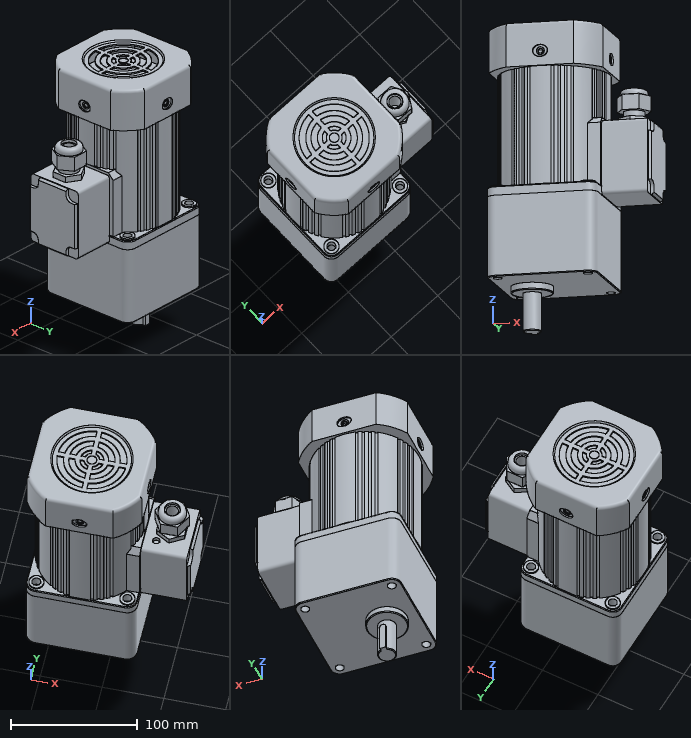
import cadquery as cq
import math


frame_side = 90.0
frame_corner_radius = 8.2
edge_break = 0.7
gearbox_height = 65.5
boss_diameter = 33.7
boss_height = 5.5
shaft_diameter = 15.0
shaft_offset = -18.0
shaft_length = 36.6
shaft_chamfer = 0.7
key_width = 5.0
key_length = 25.0
key_top = 9.5

bolt_pitch_diameter = 104.0
bolt_hole_diameter = 7.0
bolt_pad_diameter = 12.0
bolt_pad_height = 1.2
bolt_spacing = bolt_pitch_diameter / math.sqrt(2)

flange_height = 7.5
barrel_height = 95.5
groove_diameter = 2.2
grooves_per_group = 4
groove_groups = 8
groove_pitch_angle = 6.7
saddle_width = 57.8
saddle_height = 55.7
saddle_chamfer = 5.0

cover_side = 93.0
cover_corner_diameter = 108.0
cover_height = 36.0
cover_edge_radius = 3.1
cover_wall = 3.0
grille_thickness = 1.2
cavity_depth = 23.1
dish_top_radius = 32.5
dish_floor_radius = 31.3
dish_depth = 1.2
grille_rings = [(6.3, 9.5), (13.3, 18.3), (22.5, 27.7)]
spoke_width = 3.9
grille_hub_radius = 3.9
grille_hub_depth = 0.5
screw_recess_width = 12.0
screw_recess_height = 9.6
screw_recess_depth = 1.5
screw_bore_diameter = 6.3
screw_bore_depth = 0.5
screw_socket_diameter = 3.9
screw_socket_depth = 0.5
screw_drop = 23.9

box_reach = 85.0
lid_thickness = 3.0
box_width = 50.0
box_height = 60.2
box_clearance = 0.5
box_edge_radius = 3.0
lid_rim_depth = 2.2
lid_rim_inset = 1.7
notch_size = 10.4
notch_radius = 5.5
plug_diameter = 5.8
plug_depth = 3.5
plug_x = 55.0
plug_y = -13.0

gland_x = 65.0
gland_base_flats = 22.7
gland_base_height = 5.0
gland_neck_diameter = 17.4
gland_neck_height = 5.3
gland_nut_flats = 24.3
gland_nut_height = 12.5
gland_dome_diameter = 22.7
gland_dome_height = 5.5
gland_dome_radius = 3.5
gland_bore_diameter = 9.6
gland_mouth_diameter = 12.5
gland_mouth_depth = 2.5

flange_top = gearbox_height + flange_height
cover_bottom = flange_top + barrel_height
cover_top = cover_bottom + cover_height
box_bottom = gearbox_height + box_clearance
box_top = box_bottom + box_height
box_start = frame_side / 2
box_end = box_reach - lid_thickness


def cylinder(diameter, bottom, height, x=0.0, y=0.0):
    """Upright cylinder standing on the level `bottom`."""
    return cq.Workplane("XY", origin=(x, y, bottom)).circle(diameter / 2).extrude(height)


def hexagon(flats, bottom, height):
    """Upright hexagonal prism on the motor axis, corners along X."""
    corners = flats / math.cos(math.radians(30))
    return cq.Workplane("XY", origin=(0, 0, bottom)).polygon(6, corners).extrude(height)


def frame_block(bottom, height):
    """Square block with rounded corners, as wide as the gearbox."""
    return (
        cq.Workplane("XY", origin=(0, 0, bottom))
        .rect(frame_side, frame_side)
        .extrude(height)
        .edges("|Z")
        .fillet(frame_corner_radius)
    )


def bolt_cylinders(diameter, bottom, height):
    """Four upright cylinders on the mounting bolt pattern."""
    return (
        cq.Workplane("XY", origin=(0, 0, bottom))
        .rect(bolt_spacing, bolt_spacing, forConstruction=True)
        .vertices()
        .circle(diameter / 2)
        .extrude(height)
    )


def make_key():
    """Key on the +Y side of the shaft, rounded at its upper end and running out at the tip."""
    end_radius = key_width / 2
    straight_length = key_length - end_radius
    return (
        cq.Workplane("XZ", origin=(shaft_offset, 0, -shaft_length))
        .moveTo(-end_radius, 0)
        .lineTo(end_radius, 0)
        .lineTo(end_radius, straight_length)
        .threePointArc((0, key_length), (-end_radius, straight_length))
        .close()
        .extrude(-key_top)
    )


def make_gearbox():
    """Gearbox block with its shaft boss, output shaft and key."""
    body = frame_block(0, gearbox_height).faces("<Z").chamfer(edge_break)
    body = body.cut(bolt_cylinders(bolt_hole_diameter, 0, gearbox_height))
    boss = cylinder(boss_diameter, -boss_height, boss_height, shaft_offset)
    boss = boss.faces("<Z").chamfer(edge_break)
    shaft = cylinder(shaft_diameter, -shaft_length, shaft_length, shaft_offset)
    shaft = shaft.faces("<Z").chamfer(shaft_chamfer)
    return body.union(boss).union(shaft).union(make_key())


def make_barrel():
    """Cylindrical barrel with groups of half-round lengthwise grooves between smooth stretches."""
    barrel = cylinder(frame_side, flange_top, barrel_height)
    groove = cylinder(groove_diameter, flange_top, barrel_height, frame_side / 2)
    group_angle = 360 / groove_groups
    for group in range(groove_groups):
        group_centre = (group + 0.5) * group_angle
        for index in range(grooves_per_group):
            step = index - (grooves_per_group - 1) / 2
            angle = group_centre + step * groove_pitch_angle
            barrel = barrel.cut(groove.rotate((0, 0, 0), (0, 0, 1), angle))
    return barrel


def make_saddle():
    """Flat-faced seat for the terminal box, chamfered along its upper edges."""
    return (
        cq.Workplane("XY", origin=(box_start / 2, 0, flange_top))
        .box(box_start, saddle_width, saddle_height, centered=(True, True, False))
        .edges("|X and >Z")
        .chamfer(saddle_chamfer)
    )


def make_motor():
    """Motor flange with bolt pads, grooved barrel and terminal box saddle."""
    flange = frame_block(gearbox_height, flange_height).faces(">Z").chamfer(edge_break)
    flange = flange.union(bolt_cylinders(bolt_pad_diameter, gearbox_height, flange_height + bolt_pad_height))
    motor = flange.union(make_barrel()).union(make_saddle())
    hole_height = flange_height + bolt_pad_height
    return motor.cut(bolt_cylinders(bolt_hole_diameter, gearbox_height, hole_height))


def cover_block(side, corner_diameter, bottom, height):
    """Square block whose corners are rounded off by a circle around the motor axis."""
    square = cq.Workplane("XY", origin=(0, 0, bottom)).rect(side, side).extrude(height)
    return square.intersect(cylinder(corner_diameter, bottom, height))


def make_grille_slots():
    """Ring slots, interrupted by four spokes, that open the cover into its cavity."""
    bottom = cover_top - dish_depth - grille_thickness
    height = dish_depth + grille_thickness
    spoke_length = 2 * dish_top_radius
    slots = cq.Workplane("XY")
    for inner_radius, outer_radius in grille_rings:
        ring = cq.Workplane("XY", origin=(0, 0, bottom)).circle(outer_radius).circle(inner_radius)
        slots = slots.add(ring.extrude(height))
    slots = slots.combine()
    spokes = cq.Workplane("XY", origin=(0, 0, bottom))
    spokes = spokes.rect(spoke_length, spoke_width).extrude(height)
    return slots.cut(spokes).cut(spokes.rotate((0, 0, 0), (0, 0, 1), 90))


def make_screw_recess():
    """Oval recess, round bore and socket in the -Y side of the cover."""
    face = cq.Workplane("XZ", origin=(0, -cover_side / 2, cover_top - screw_drop))
    bore_end = screw_recess_depth + screw_bore_depth
    recess = face.ellipse(screw_recess_width / 2, screw_recess_height / 2).extrude(-screw_recess_depth)
    bore = face.circle(screw_bore_diameter / 2).extrude(-bore_end)
    socket = face.circle(screw_socket_diameter / 2).extrude(-(bore_end + screw_socket_depth))
    return recess.union(bore).union(socket)


def make_fan_cover():
    """Hollow fan cover with a dished grille on top and a screw recess in each side."""
    cover = cover_block(cover_side, cover_corner_diameter, cover_bottom, cover_height)
    cover = cover.faces(">Z").edges().fillet(cover_edge_radius)
    cavity = cover_block(
        cover_side - 2 * cover_wall,
        cover_corner_diameter - 2 * cover_wall,
        cover_top - cavity_depth,
        cavity_depth - dish_depth - grille_thickness,
    )
    dish = (
        cq.Workplane("XY", origin=(0, 0, cover_top))
        .circle(dish_top_radius)
        .workplane(offset=-dish_depth)
        .circle(dish_floor_radius)
        .loft(ruled=True)
    )
    hub_bottom = cover_top - dish_depth - grille_hub_depth
    hub = cylinder(2 * grille_hub_radius, hub_bottom, grille_hub_depth)
    cover = cover.cut(cavity).cut(dish).cut(make_grille_slots()).cut(hub)
    screw_recess = make_screw_recess()
    for angle in (0, 90, 180, 270):
        cover = cover.cut(screw_recess.rotate((0, 0, 0), (0, 0, 1), angle))
    return cover


def box_block(start, end):
    """Block along X with the rounded section shared by the terminal box and its lid."""
    return (
        cq.Workplane("XY", origin=(start, 0, box_bottom))
        .box(end - start, box_width, box_height, centered=(False, True, False))
        .edges("|X")
        .fillet(box_edge_radius)
    )


def make_terminal_box():
    """Terminal box with a shallow round recess in its top."""
    plug = cylinder(plug_diameter, box_top - plug_depth, plug_depth, plug_x, plug_y)
    return box_block(box_start, box_end).cut(plug)


def make_box_lid():
    """Lid with a sloped rim and a rounded notch at each corner for a screw."""
    lid = box_block(box_end, box_reach)
    lid = lid.faces(">X").chamfer(lid_rim_depth, lid_rim_inset)
    notches = (
        cq.Workplane("YZ", origin=(box_end, 0, (box_bottom + box_top) / 2))
        .rect(box_width, box_height, forConstruction=True)
        .vertices()
        .rect(2 * notch_size, 2 * notch_size)
        .extrude(lid_thickness)
        .edges("|X")
        .fillet(notch_radius)
    )
    return lid.cut(notches)


def make_cable_gland():
    """Cable gland: hexagonal base, neck, clamping nut and rounded bored dome."""
    base = hexagon(gland_base_flats, box_top, gland_base_height)
    base = base.rotate((0, 0, 0), (0, 0, 1), 90)
    neck_bottom = box_top + gland_base_height
    neck = cylinder(gland_neck_diameter, neck_bottom, gland_neck_height)
    nut_bottom = neck_bottom + gland_neck_height
    nut = hexagon(gland_nut_flats, nut_bottom, gland_nut_height)
    dome_bottom = nut_bottom + gland_nut_height
    dome_top = dome_bottom + gland_dome_height
    dome = cylinder(gland_dome_diameter, dome_bottom, gland_dome_height)
    dome = dome.faces(">Z").edges().fillet(gland_dome_radius)
    bore = cylinder(gland_bore_diameter, box_top, dome_top - box_top)
    mouth = cylinder(gland_mouth_diameter, dome_top - gland_mouth_depth, gland_mouth_depth)
    gland = base.union(neck).union(nut).union(dome).cut(bore).cut(mouth)
    return gland.translate((gland_x, 0, 0))


gearbox = make_gearbox()
motor = make_motor()
fan_cover = make_fan_cover()
terminal_box = make_terminal_box()
box_lid = make_box_lid()
cable_gland = make_cable_gland()

result = cq.Compound.makeCompound(
    [
        gearbox.val(),
        motor.val(),
        fan_cover.val(),
        terminal_box.val(),
        box_lid.val(),
        cable_gland.val(),
    ]
)